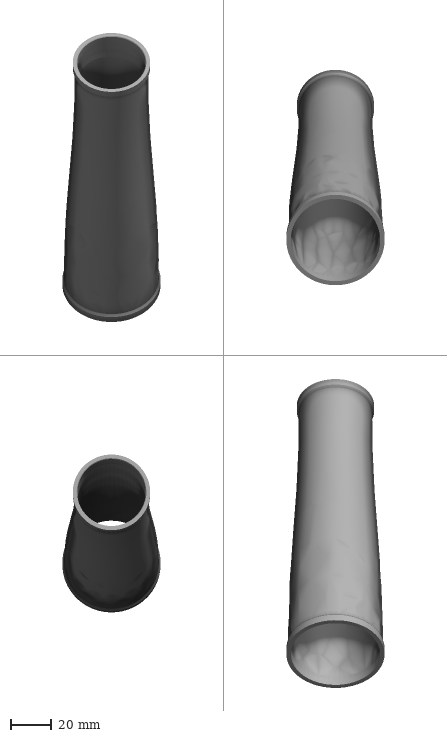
import cadquery as cq
import math

height = 170.0
wall = 1.4
lower_body_radius = 47.1 / 2
upper_body_radius = 18.2

collar_height = 3.7
base_collar_radius = 48.8 / 2
base_shoulder_height = 1.4
top_collar_radius = 19.2
top_shoulder_height = 1.0
neck_height = 0.5

base_shoulder_end = collar_height + base_shoulder_height
top_shoulder_end = height - collar_height - top_shoulder_height
curve_start = base_shoulder_end + neck_height
curve_end = top_shoulder_end - neck_height

mouth_chamfer = 0.3
socket_radius = 17.0
socket_depth = 11.4
cone_depth = 15.1
throat_depth = 16.5
throat_radius = upper_body_radius - wall

mid_height = (curve_start + curve_end) / 2
half_span = (curve_end - curve_start) / 2
half_taper = (lower_body_radius - upper_body_radius) / 2
arc_radius = (half_span**2 + half_taper**2) / (2 * half_taper)


def curve_point(z, inset):
    """Point on the S-curve at height z, moved towards the axis by inset."""
    if z <= mid_height:
        radius = lower_body_radius - arc_offset(z - curve_start)
    else:
        radius = upper_body_radius + arc_offset(curve_end - z)
    return (radius - inset, z)


def arc_offset(distance):
    """How far an arc has left the vertical at this height from its end."""
    return arc_radius - math.sqrt(arc_radius**2 - distance**2)


def add_s_curve(profile, end_z, inset):
    """Continue the profile from the curve start up to end_z with two arcs."""
    for start, end in ((curve_start, mid_height), (mid_height, end_z)):
        halfway = (start + end) / 2
        profile = profile.threePointArc(curve_point(halfway, inset), curve_point(end, inset))
    return profile


def revolve_about_axis(profile):
    """Close the half profile along the Z axis and revolve it."""
    return profile.lineTo(0, height).close().revolve(360, (0, 0, 0), (0, 1, 0))


def make_outside():
    """Solid of revolution bounded by the outer surface."""
    profile = (
        cq.Workplane("XZ")
        .lineTo(base_collar_radius, 0)
        .lineTo(base_collar_radius, collar_height)
        .lineTo(lower_body_radius, base_shoulder_end)
        .lineTo(lower_body_radius, curve_start)
    )
    profile = (
        add_s_curve(profile, curve_end, 0)
        .lineTo(upper_body_radius, top_shoulder_end)
        .lineTo(top_collar_radius, height - collar_height)
        .lineTo(top_collar_radius, height)
    )
    return revolve_about_axis(profile)


def make_bore():
    """Through bore that follows the body and opens into the upper socket."""
    profile = (
        cq.Workplane("XZ")
        .lineTo(lower_body_radius - wall, 0)
        .lineTo(lower_body_radius - wall, curve_start)
    )
    profile = (
        add_s_curve(profile, height - throat_depth, wall)
        .lineTo(throat_radius, height - cone_depth)
        .lineTo(socket_radius, height - socket_depth)
        .lineTo(socket_radius, height - mouth_chamfer)
        .lineTo(socket_radius + mouth_chamfer, height)
    )
    return revolve_about_axis(profile)


result = make_outside().cut(make_bore())